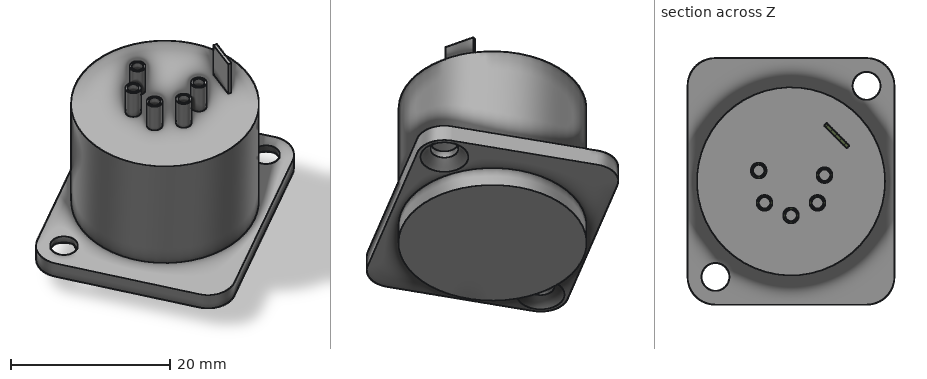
import cadquery as cq
import math

flange_width = 26.0
flange_length = 31.0
flange_thickness = 2.25
flange_corner_radius = 3.5
flange_bottom = 2.7
screw_hole_radius = 1.75
screw_hole_x = 9.5
screw_hole_y = 12.0
countersink_radius = 3.0
countersink_angle = 90

shell_radius = 11.8
shell_height = 21.3

pin_circle_radius = 4.28
pin_angles = (10.5, 161.5, 219, 270, 321)
pin_radius = 1.0
pin_bore_radius = 0.7
pin_top = 25.3
pin_length = pin_top - shell_height

tab_angle = 45
tab_distance = 8.12
tab_width = 4.03
tab_thickness = 0.45
tab_top = 26.3


def make_flange():
    """Rounded plate with two diagonally opposite screw holes, countersunk from below."""
    plate = cq.Workplane("XY").workplane(offset=flange_bottom)
    plate = plate.rect(flange_width, flange_length).extrude(flange_thickness)
    plate = plate.edges("|Z").fillet(flange_corner_radius)
    hole_centers = [(screw_hole_x, -screw_hole_y), (-screw_hole_x, screw_hole_y)]
    underside = plate.faces("<Z").workplane().pushPoints(hole_centers)
    return underside.cskHole(2 * screw_hole_radius, 2 * countersink_radius, countersink_angle)


def make_shell():
    return cq.Workplane("XY").circle(shell_radius).extrude(shell_height)


def make_pins():
    """Tubes standing on the shell's end face, each open down to that face."""
    centers = []
    for angle in pin_angles:
        turn = math.radians(angle)
        centers.append((pin_circle_radius * math.cos(turn), pin_circle_radius * math.sin(turn)))
    end_face = cq.Workplane("XY").workplane(offset=shell_height)
    pins = end_face.pushPoints(centers).circle(pin_radius).extrude(pin_length)
    bores = end_face.pushPoints(centers).circle(pin_bore_radius).extrude(pin_length)
    return pins.cut(bores)


def make_tab():
    tab = cq.Workplane("XY").workplane(offset=shell_height).center(tab_distance, 0)
    tab = tab.rect(tab_thickness, tab_width).extrude(tab_top - shell_height)
    return tab.rotate((0, 0, 0), (0, 0, 1), tab_angle)


result = make_flange().union(make_shell()).union(make_pins()).union(make_tab())